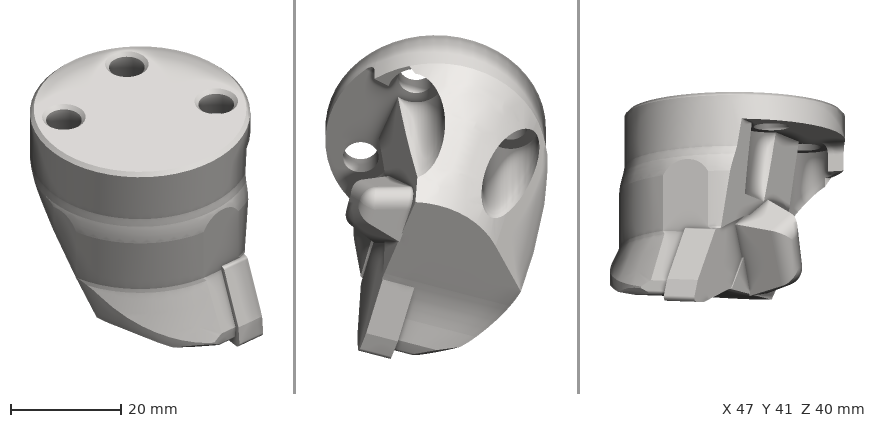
import cadquery as cq
import math

FLANGE_D = 40.0
FLANGE_R = FLANGE_D / 2
PART_DEPTH = 41.0
FLANGE_H = 10.1
EDGE_CHAMFER = 0.7
LOWEST_Z = -47.0

HOLE_D = 6.5
COUNTERBORE_D = 10.5
HOLE_OFFSET = 9.9
COUNTERSINK_TAPER = 45.0
SEAT_Z = -5.08
POCKET_HOLE_END_Z = -17.85

NECK_R = 20.3
NECK_Z = -11.6
PAD_R = PART_DEPTH - FLANGE_R
PAD_TOP_Z = -14.85
PAD_BLEND_R = 20.75
PAD_END_Z = -25.1
FLARE_Z = -25.8
FLARE_R = 21.2
FLARE_SLOPE = 0.48

FOOT_R = PAD_R
FOOT_X = 5.8
PAD_START_X = 0.6
RAMP_X = -5.2
RAMP_Y = -19.85

RELIEF_SLOPE = 0.66
RELIEF_TANGENT_Y = -11.9

FACE_TURN = 0.16
CHIP_FACE_LEAN = 0.15
CHIP_FACE_Y = 10.7
RAKE_LEAN = 0.12
RAKE_Y = 9.5
CHIP_POCKET_X = -8.7
CHIP_POCKET_LOW_X = -14.35
CHIP_POCKET_FILLET = 1.9

TIP_U = 28.25
TIP_V = -40.4
TIP_DIRECTION = 136.0
TIP_ANGLE = 70.0
EDGE_ANGLE = 41.0
FACET_L = 4.25
EDGE_L = 11.3
INSERT_T = 6.2
TIP_R = 0.7
BLUNT_R = 0.7

NOSE_INSET = 1.15
NOSE_UPPER_INSET = 0.75
NOSE_LOWER_INSET = 0.9
NOSE_TIP_R = 0.55
NOSE_HOLLOW_R = 21.15
FLAT_U = 22.0
UNDERSIDE_V = -34.75
UNDERSIDE_SLOPE = -0.06

CORNER_POINT = (21.15, -14.35, -35.7)
CORNER_NORMAL = (1, -1, -math.sqrt(2))

CLAMP_LOW_CORNER = (-4.25, -32.9)
CLAMP_OUTLINE = [(4.25, -17.0), CLAMP_LOW_CORNER, (6.1, -35.45), (14.95, -23.8)]
CLAMP_H = 8.22
CLAMP_TAPER = 18.0
CLAMP_FILLET = 3.3


def tilted_plane(lean, y):
    """Plane facing -Y whose local X stays level and whose local Y climbs."""
    return cq.Plane(origin=(0, y, 0), xDir=(1, -FACE_TURN, 0), normal=(-FACE_TURN, -1, lean))


chip_face = tilted_plane(CHIP_FACE_LEAN, CHIP_FACE_Y)
rake_plane = tilted_plane(RAKE_LEAN, RAKE_Y)


def polar(length, degrees):
    """Offset of a point at a distance and an angle."""
    angle = math.radians(degrees)
    return length * math.cos(angle), length * math.sin(angle)


def step(point, length, degrees):
    """Point reached from another by a distance and an angle."""
    run, rise = polar(length, degrees)
    return point[0] + run, point[1] + rise


def make_flange():
    disc = cq.Workplane("XY").circle(FLANGE_R).extrude(-FLANGE_H)
    return disc.faces(">Z").chamfer(EDGE_CHAMFER)


def make_turned_blank():
    """Revolved outside of the shank, flaring towards the foot."""
    flare_end = FLARE_R + FLARE_SLOPE * (FLARE_Z - LOWEST_Z)
    return (
        cq.Workplane("XZ")
        .moveTo(0, -FLANGE_H)
        .lineTo(FLANGE_R, -FLANGE_H)
        .lineTo(NECK_R, NECK_Z)
        .threePointArc((PAD_BLEND_R, (NECK_Z + PAD_TOP_Z) / 2), (PAD_R, PAD_TOP_Z))
        .lineTo(PAD_R, PAD_END_Z)
        .lineTo(FLARE_R, FLARE_Z)
        .lineTo(flare_end, LOWEST_Z)
        .lineTo(0, LOWEST_Z)
        .close()
        .revolve()
    )


def make_plan_prism():
    """Outline of the shank from above: round foot, ramped pad and neck."""
    pad_y = -math.sqrt(PAD_R**2 - PAD_START_X**2)
    turn = math.degrees(math.acos(NECK_R / math.hypot(RAMP_X, RAMP_Y)))
    tangent_angle = math.degrees(math.atan2(RAMP_Y, RAMP_X)) - turn
    return (
        cq.Workplane("XY")
        .moveTo(FOOT_X, FOOT_R)
        .threePointArc((FOOT_X + FOOT_R, 0), (FOOT_X, -FOOT_R))
        .lineTo(PAD_START_X, pad_y)
        .lineTo(RAMP_X, RAMP_Y)
        .lineTo(*polar(NECK_R, tangent_angle))
        .threePointArc((-NECK_R, 0), (0, NECK_R))
        .close()
        .extrude(LOWEST_Z)
    )


def make_relief_envelope():
    """Space left by the slanted relief on the -X side."""
    tangent_x = -math.sqrt(FLANGE_R**2 - RELIEF_TANGENT_Y**2)
    reach = 2 * FLANGE_R
    run_x = -RELIEF_TANGENT_Y / FLANGE_R * reach
    run_y = tangent_x / FLANGE_R * reach
    outline = (
        cq.Workplane("XY", origin=(0, 0, -FLANGE_H))
        .moveTo(0, FLANGE_R)
        .threePointArc((-FLANGE_R, 0), (tangent_x, RELIEF_TANGENT_Y))
        .line(run_x, run_y)
        .lineTo(reach, RELIEF_TANGENT_Y + run_y)
        .lineTo(reach, FLANGE_R)
        .close()
    )
    depth = -FLANGE_H - LOWEST_Z
    slant = cq.Vector(RELIEF_SLOPE * depth, 0, -depth)
    return cq.Workplane(cq.Solid.extrudeLinear(outline.val(), [], slant))


def tip_outline(inset):
    """Corners of the insert's tip, moved inwards: facet end, tip and facet end."""
    upper_facet = TIP_DIRECTION - TIP_ANGLE / 2
    lower_facet = TIP_DIRECTION + TIP_ANGLE / 2
    inward = (TIP_ANGLE + EDGE_ANGLE) / 4
    tip = step((TIP_U, TIP_V), inset / math.sin(math.radians(TIP_ANGLE / 2)), TIP_DIRECTION)
    upper = step(step((TIP_U, TIP_V), FACET_L, upper_facet), inset, TIP_DIRECTION - inward + 90)
    lower = step(step((TIP_U, TIP_V), FACET_L, lower_facet), inset, TIP_DIRECTION + inward - 90)
    return lower, tip, upper


def round_corner(prism, corner, radius):
    """Round the edge that leaves the rake plane at a corner of the outline."""
    near = rake_plane.toWorldCoords((*corner, 0)).toTuple()
    edges = prism.edges(cq.selectors.ParallelDirSelector(rake_plane.zDir))
    return edges.edges(cq.selectors.NearestToPointSelector(near)).fillet(radius)


def make_nose_prism():
    """Underside, nose and side flat, swept square to the rake plane."""
    lower = tip_outline(NOSE_LOWER_INSET)[0]
    tip = tip_outline(NOSE_INSET)[1]
    upper = tip_outline(NOSE_UPPER_INSET)[2]
    upper_slope = math.tan(math.radians(TIP_DIRECTION - EDGE_ANGLE / 2))
    lower_slope = math.tan(math.radians(TIP_DIRECTION + EDGE_ANGLE / 2))
    flat_v = upper[1] + (FLAT_U - upper[0]) * upper_slope
    hollow_u = (UNDERSIDE_V - lower[1] + lower_slope * lower[0]) / (lower_slope - UNDERSIDE_SLOPE)
    hollow = (hollow_u, UNDERSIDE_V + UNDERSIDE_SLOPE * hollow_u)
    left_u = -2 * FLANGE_R
    left = (left_u, UNDERSIDE_V + UNDERSIDE_SLOPE * left_u)
    outline = [(left_u, 0), left, hollow, lower, tip, upper, (FLAT_U, flat_v), (FLAT_U, 0)]
    prism = (
        cq.Workplane(rake_plane)
        .workplane(offset=-FLANGE_R)
        .polyline(outline)
        .close()
        .extrude(3 * FLANGE_R)
    )
    prism = round_corner(prism, hollow, NOSE_HOLLOW_R)
    return round_corner(prism, tip, NOSE_TIP_R)


def make_insert_plate(thickness):
    """Insert outline, thickened from the rake plane into the head (or out of it if negative)."""
    lower, tip, upper = tip_outline(0)
    upper_blunt = step(upper, EDGE_L, TIP_DIRECTION - EDGE_ANGLE / 2)
    lower_blunt = step(lower, EDGE_L, TIP_DIRECTION + EDGE_ANGLE / 2)
    width_u = upper_blunt[0] + lower_blunt[0]
    width_v = upper_blunt[1] + lower_blunt[1]
    half = [lower_blunt, lower, tip, upper]
    other_half = [(width_u - u, width_v - v) for u, v in half]
    far_tip = other_half[2]
    plate = cq.Workplane(rake_plane).polyline(half + other_half).close().extrude(thickness)
    for corner, radius in [(tip, TIP_R), (far_tip, TIP_R), (upper_blunt, BLUNT_R), (lower_blunt, BLUNT_R)]:
        plate = round_corner(plate, corner, radius)
    return plate


def make_corner_chamfer():
    """Waste under the outer corner of the foot."""
    size = 2 * FLANGE_R
    plane = cq.Plane(origin=CORNER_POINT, normal=CORNER_NORMAL)
    return cq.Workplane(plane).rect(size, size).extrude(size)


def make_chip_pocket():
    """Open space in front of the chip face, up to the pocket roof."""
    width = 4 * FLANGE_R
    upper = (
        cq.Workplane("XY", origin=(CHIP_POCKET_X, 0, SEAT_Z))
        .rect(width, width, centered=(False, True))
        .extrude(LOWEST_Z)
        .edges("|Y and <X and >Z")
        .fillet(CHIP_POCKET_FILLET)
    )
    lower = (
        cq.Workplane("XY", origin=(CHIP_POCKET_LOW_X, 0, -FLANGE_H))
        .rect(width, width, centered=(False, True))
        .extrude(LOWEST_Z)
    )
    behind = cq.Workplane(chip_face).rect(2 * width, 2 * width).extrude(-width)
    return upper.union(lower).intersect(behind)


def make_clamp():
    """Tapered block with rounded edges that sits over the insert."""
    block = cq.Workplane(rake_plane).polyline(CLAMP_OUTLINE).close().extrude(-CLAMP_H, taper=CLAMP_TAPER)
    low_corner = rake_plane.toWorldCoords((*CLAMP_LOW_CORNER, -CLAMP_H / 2)).toTuple()
    low_edge = block.edges(cq.selectors.NearestToPointSelector(low_corner))
    outer_face = cq.selectors.DirectionMinMaxSelector(-rake_plane.zDir)
    return block.faces(outer_face).edges().add(low_edge).fillet(CLAMP_FILLET)


def drill_mounting_holes(body):
    """Countersunk through holes with counterbores for screw heads."""
    spots = [
        (-HOLE_OFFSET, -HOLE_OFFSET, LOWEST_Z),
        (-HOLE_OFFSET, HOLE_OFFSET, LOWEST_Z),
        (HOLE_OFFSET, HOLE_OFFSET, POCKET_HOLE_END_Z),
    ]
    for x, y, end_z in spots:
        hole = cq.Workplane("XY", origin=(x, y, 0)).circle(HOLE_D / 2).extrude(SEAT_Z)
        countersink = (
            cq.Workplane("XY", origin=(x, y, 0))
            .circle(HOLE_D / 2 + EDGE_CHAMFER)
            .extrude(-EDGE_CHAMFER, taper=COUNTERSINK_TAPER)
        )
        counterbore = (
            cq.Workplane("XY", origin=(x, y, SEAT_Z))
            .circle(COUNTERBORE_D / 2)
            .extrude(end_z - SEAT_Z)
        )
        body = body.cut(hole).cut(countersink).cut(counterbore)
    return body


def make_head(insert):
    shank = (
        make_turned_blank()
        .intersect(make_plan_prism())
        .intersect(make_relief_envelope())
        .intersect(make_nose_prism())
        .cut(make_corner_chamfer())
    )
    head = make_flange().union(shank).cut(make_chip_pocket())
    head = drill_mounting_holes(head)
    insert_mouth = make_insert_plate(-INSERT_T)
    return head.cut(insert_mouth).union(make_clamp()).cut(insert)


insert = make_insert_plate(INSERT_T)
head = make_head(insert)
result = cq.Compound.makeCompound([head.solids().val(), insert.solids().val()])